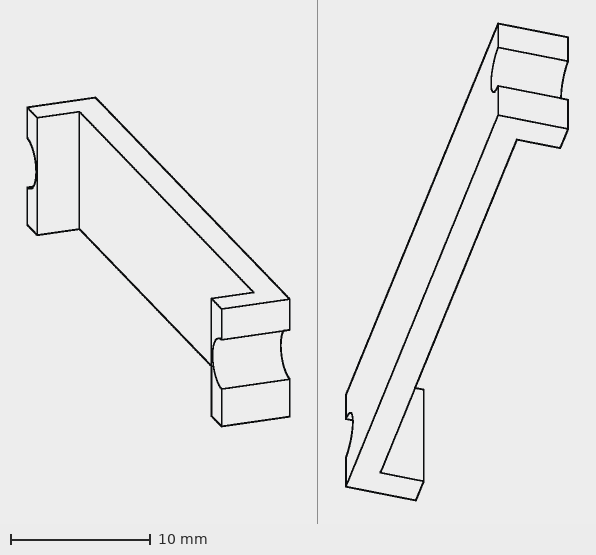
import cadquery as cq

length = 39.8
depth = 5.2
height = 9.1

back_thickness = 2.0
leg_width = 2.05

notch_radius = 1.9
notch_depth = 1.85
notch_center_height = 4.8


def u_body():
    """Back plate at +Y with a leg reaching toward -Y at each end."""
    block = cq.Workplane("XY").box(length, depth, height, centered=(True, False, False))
    opening = cq.Workplane("XY").box(
        length - 2 * leg_width,
        depth - back_thickness,
        height,
        centered=(True, False, False),
    )
    return block.cut(opening)


def end_notches():
    """Cylinders along Y that cut a round groove into both ends."""
    center_x = length / 2 + notch_radius - notch_depth
    return (
        cq.Workplane("XZ")
        .pushPoints([(side * center_x, notch_center_height) for side in (-1, 1)])
        .circle(notch_radius)
        .extrude(-depth)
    )


result = u_body().cut(end_notches())